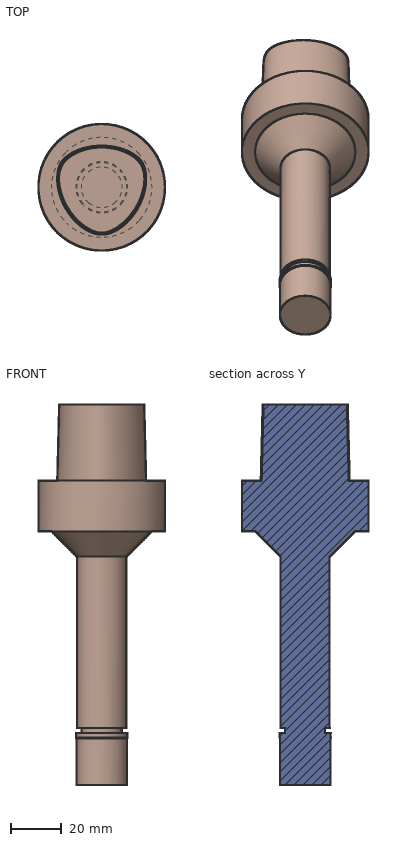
import cadquery as cq
import math


shank_length = 30.0
shank_base_width = 35.1
taper_ratio = 1 / 20
shank_top_width = shank_base_width - taper_ratio * shank_length
lobe_offset = 1.12
lobe_count = 3
spline_point_count = 48

flange_diameter = 49.98
flange_height = 20.0
cone_height = 10.0

stem_diameter = 19.5
relief_diameter = 16.0
relief_width = 1.9
head_diameter = 20.0
head_height = 20.6
land_diameter = 20.3
land_height = 1.9
land_chamfer_height = 0.3
body_length = 120.0

flange_bottom = -flange_height
cone_bottom = flange_bottom - cone_height
head_bottom = -body_length
head_top = head_bottom + head_height
relief_top = head_top + relief_width
land_bottom = head_top - land_height
land_chamfer_bottom = land_bottom - land_chamfer_height


def lobed_section(width, height):
    """Constant-width three-lobed curve with one lobe pointing towards -Y."""

    def point_at(index):
        angle = 2 * math.pi * index / spline_point_count
        reach = width / 2 + lobe_offset * math.sin(lobe_count * angle)
        reach_rate = lobe_count * lobe_offset * math.cos(lobe_count * angle)
        x = reach * math.cos(angle) - reach_rate * math.sin(angle)
        y = reach * math.sin(angle) + reach_rate * math.cos(angle)
        return cq.Vector(x, y, height)

    points = [point_at(index) for index in range(spline_point_count)]
    return cq.Wire.assembleEdges([cq.Edge.makeSpline(points, periodic=True)])


def make_shank():
    base = lobed_section(shank_base_width, 0)
    top = lobed_section(shank_top_width, shank_length)
    return cq.Workplane(cq.Solid.makeLoft([base, top], True))


def make_turned_body():
    """Flange, cone, stem, groove, land and head as one revolved half profile."""
    flange_radius = flange_diameter / 2
    stem_radius = stem_diameter / 2
    relief_radius = relief_diameter / 2
    land_radius = land_diameter / 2
    head_radius = head_diameter / 2
    profile = [
        (0, 0),
        (flange_radius, 0),
        (flange_radius, flange_bottom),
        (stem_radius + cone_height, flange_bottom),
        (stem_radius, cone_bottom),
        (stem_radius, relief_top),
        (relief_radius, relief_top),
        (relief_radius, head_top),
        (land_radius, head_top),
        (land_radius, land_bottom),
        (head_radius, land_chamfer_bottom),
        (head_radius, head_bottom),
        (0, head_bottom),
    ]
    return cq.Workplane("XZ").polyline(profile).close().revolve(360, (0, 0), (0, 1))


result = make_turned_body().union(make_shank())